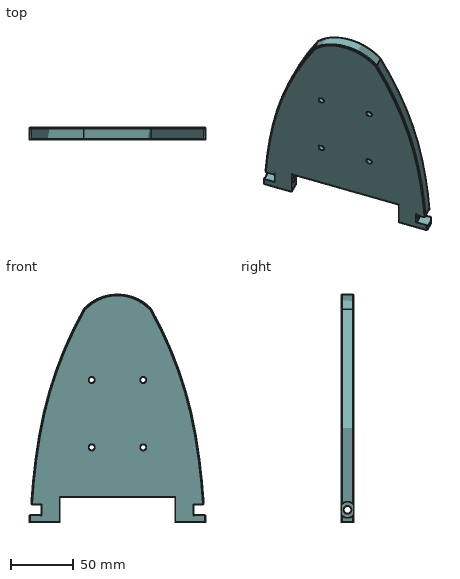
import cadquery as cq

height = 182.4
thickness = 10.0
edge_chamfer = 1.0

tip_half_width = 27.0
tip_z = 170.5
tip_rise = height - tip_z
tip_radius = (tip_half_width**2 + tip_rise**2) / (2 * tip_rise)
shoulder_half_width = 63.0
shoulder_z = 69.0
lower_mid_half_width = 66.8
lower_mid_z = 42.1
flank_end_half_width = 69.5

foot_half_width = 141.4 / 2
foot_inner_x = 46.1
leg_height = 20.0
bolt_z = 9.8
recess_diameter = 13.0
recess_floor_x = 61.0
bolt_hole_diameter = 6.0

face_hole_diameter = 4.7
face_hole_spacing_x = 41.2
face_hole_spacing_z = 54.0
face_hole_center_z = 86.8


def shield_body():
    """Curved plate above the feet, chamfered along both faces of its rim."""
    outline = (
        cq.Workplane("XZ", origin=(0, thickness / 2, 0))
        .moveTo(0, bolt_z)
        .lineTo(flank_end_half_width, bolt_z)
        .threePointArc((lower_mid_half_width, lower_mid_z), (shoulder_half_width, shoulder_z))
        .tangentArcPoint((tip_half_width, tip_z), relative=False)
        .radiusArc((0, height), -tip_radius)
        .mirrorY()
    )
    plate = outline.extrude(thickness)
    return plate.faces("<Y or >Y").edges("not |X").chamfer(edge_chamfer)


def foot_bar():
    """Bar across the bottom, up to the bolt axis, with chamfered upright corners."""
    bar = cq.Workplane("XY").box(
        2 * foot_half_width, thickness, bolt_z, centered=(True, True, False)
    )
    return bar.edges("|Z").chamfer(edge_chamfer)


def bottom_cutout():
    """Rectangular opening that leaves a leg on each side."""
    return cq.Workplane("XY").box(
        2 * foot_inner_x, thickness, leg_height, centered=(True, True, False)
    )


def bolt_hole():
    """Bolt hole running along X through both legs."""
    return (
        cq.Workplane("YZ", origin=(0, 0, bolt_z))
        .circle(bolt_hole_diameter / 2)
        .extrude(foot_half_width, both=True)
    )


def bolt_recess(side):
    """Round recess from the outer side of one foot; side is -1 or 1."""
    return (
        cq.Workplane("YZ", origin=(side * recess_floor_x, 0, bolt_z))
        .circle(recess_diameter / 2)
        .extrude(side * (foot_half_width - recess_floor_x))
    )


def face_holes():
    """Rectangular pattern of four holes through the plate."""
    return (
        cq.Workplane("XZ", origin=(0, 0, face_hole_center_z))
        .rarray(face_hole_spacing_x, face_hole_spacing_z, 2, 2)
        .circle(face_hole_diameter / 2)
        .extrude(thickness, both=True)
    )


result = shield_body().union(foot_bar())
result = result.cut(bottom_cutout()).cut(bolt_hole()).cut(face_holes())
for side in (-1, 1):
    result = result.cut(bolt_recess(side))